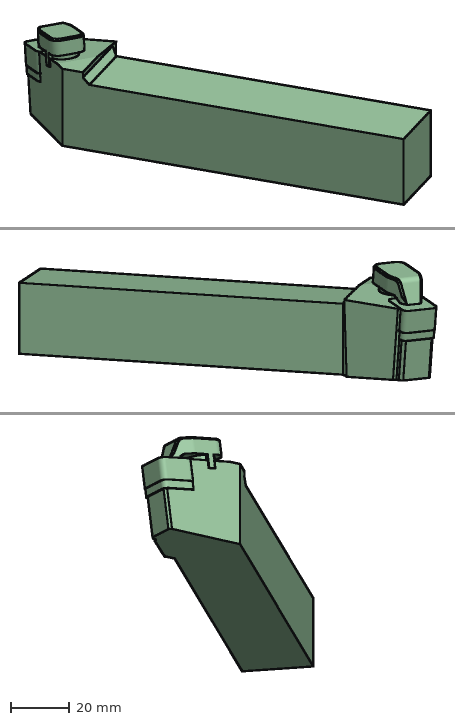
import cadquery as cq
import math


length = 149.3
shank_size = 25.0
head_top = 29.3
head_back = 30.6
neck_bevel = 2.2
neck_top = 27.3
head_width = 30.6
side_start = 23.0
head_depth = 37.3

seat_tilt = 8.0
crease_distance = 12.1
root_half = math.sqrt(0.5)
tilt_cos = math.cos(math.radians(seat_tilt))
tilt_sin = math.sin(math.radians(seat_tilt))

insert_side = 13.1
insert_thickness = 8.0
insert_radius = 2.0
shim_thickness = 3.0
shim_inset = 0.1
nose_y = 22.8
nose_x = -insert_radius * (math.sqrt(2) - 1)
relief_inset = 0.52
nose_flat = 0.9
notch_x = 10.3
notch_width = 1.0
notch_depth = 0.6

clamp_tip = -11.0
clamp_back = 10.3
clamp_center = 22.1
clamp_half_width = 6.3
tip_half_width = 2.5
tip_bevel_length = 1.8
tip_bevel_width = 1.3
shoulder_length = 8.7
shoulder_radius = 3.0
back_radius = 3.5
clamp_top = 8.0
clamp_underside = 2.1
tip_face_run = 3.9
tip_radius = 2.5
foot_length = 2.4
foot_ramp = 3.0
rim_bevel = 0.6
post_place = 3.7
post_radius = 5.2
leg_place = 4.2
leg_width = 2.5
leg_thickness = 1.8
leg_drop = 2.8

seat = cq.Plane(
    origin=(crease_distance * root_half, -crease_distance * root_half, head_top),
    xDir=(tilt_cos * root_half, -tilt_cos * root_half, tilt_sin),
    normal=(-tilt_sin * root_half, tilt_sin * root_half, tilt_cos),
)


def along_seat(distance):
    """Seat u of a horizontal distance from the origin along the clamp direction."""
    return (distance - crease_distance) / tilt_cos


def seat_point(x, y):
    """Seat (u, v) of the point of the tilted seat that lies at X, Y."""
    return along_seat((x - y) * root_half), (x + y) * root_half


def on_seat(shape):
    """Move a shape modelled about the origin onto the tilted seat."""
    return cq.Workplane(shape.val().moved(seat.location))


def corner_block(u_start, v_start, u_size, v_size, bottom, height):
    """A block placed by its lowest corner."""
    block = cq.Workplane("XY").box(u_size, v_size, height, centered=False)
    return block.translate((u_start, v_start, bottom))


insert_u, insert_v = seat_point(nose_x, nose_y)
clamp_tip_u = along_seat(clamp_tip)
clamp_back_u = along_seat(clamp_back)


def make_shank():
    """Square shank with the bevelled step up to the head."""
    bevel_end = head_back + neck_top - shank_size
    side_profile = (
        cq.Workplane("XZ")
        .polyline([
            (head_back, 0),
            (length, 0),
            (length, shank_size),
            (bevel_end, shank_size),
            (head_back, neck_top),
        ])
        .close()
        .extrude(-head_width)
    )
    plan_profile = (
        cq.Workplane("XY")
        .polyline([
            (head_back, 0),
            (length, 0),
            (length, shank_size),
            (head_back + neck_bevel, shank_size),
            (head_back, shank_size + neck_bevel),
        ])
        .close()
        .extrude(head_top)
    )
    return side_profile.intersect(plan_profile)


def make_head():
    """Head whose sides stand square to the tilted seat, trimmed flat at its top, base and back."""
    front_u = insert_u + relief_inset
    side_v = side_start * root_half
    relief_diagonal = crease_distance + front_u * tilt_cos
    front_corner_x = head_width + relief_diagonal / root_half
    past_back = 2 * head_back
    outline = [
        (front_u, side_v + nose_flat),
        seat_point(front_corner_x, head_width),
        seat_point(notch_x - notch_width, head_width),
        seat_point(notch_x, head_width - notch_depth),
        seat_point(notch_x + notch_width, head_width),
        seat_point(past_back, head_width),
        seat_point(past_back, side_start - past_back),
        (front_u + nose_flat, side_v),
    ]
    prism = on_seat(cq.Workplane("XY").polyline(outline).close().extrude(-head_depth))
    envelope = cq.Workplane("XY").box(head_back, 2 * head_width, head_top, centered=False)
    return prism.intersect(envelope)


def make_insert():
    """Square insert with rounded corners, flush with the seat."""
    block = corner_block(
        insert_u, insert_v, insert_side, insert_side, -insert_thickness, insert_thickness
    )
    return on_seat(block.edges("|Z").fillet(insert_radius))


def make_shim():
    """Plate under the insert, slightly smaller than it."""
    size = insert_side - 2 * shim_inset
    block = corner_block(
        insert_u + shim_inset, insert_v + shim_inset, size, size,
        -insert_thickness - shim_thickness, shim_thickness,
    )
    return on_seat(block.edges("|Z").fillet(insert_radius - shim_inset))


def make_clamp_arm():
    """Arm tapered to the tip in plan, with a sloping tip face and a hollow underside."""
    half_outline = [
        (clamp_tip_u, tip_half_width),
        (clamp_tip_u + tip_bevel_length, tip_half_width + tip_bevel_width),
        (clamp_tip_u + shoulder_length, clamp_half_width),
        (clamp_back_u, clamp_half_width),
    ]
    outline = half_outline + [(u, -v) for u, v in reversed(half_outline)]
    plan_profile = cq.Workplane("XY").polyline(outline).close().extrude(clamp_top)
    plan_profile = plan_profile.edges("|Z").edges(">>X[-2]").fillet(shoulder_radius)
    plan_profile = plan_profile.edges("|Z and >X").fillet(back_radius)

    foot_end_u = clamp_tip_u + foot_length
    side_profile = (
        cq.Workplane("XZ")
        .moveTo(clamp_tip_u, 0)
        .lineTo(clamp_tip_u + tip_face_run, clamp_top)
        .lineTo(clamp_back_u, clamp_top)
        .lineTo(clamp_back_u, clamp_underside)
        .lineTo(foot_end_u + foot_ramp, clamp_underside)
        .lineTo(foot_end_u, 0)
        .close()
        .extrude(clamp_half_width, both=True)
    )
    side_profile = side_profile.faces(">Z").edges("<X").fillet(tip_radius)
    arm = plan_profile.intersect(side_profile)
    return arm.faces(">Z").edges("(not |Y) or >X").chamfer(rim_bevel)


def make_clamp():
    """Clamp arm with the post below it and the locating leg, which starts halfway up its side."""
    post = (
        cq.Workplane("XY")
        .center(along_seat(post_place), 0)
        .circle(post_radius)
        .extrude(clamp_underside)
    )
    leg = corner_block(
        along_seat(leg_place) - leg_width / 2, -clamp_half_width,
        leg_width, leg_thickness, -leg_drop, leg_drop + clamp_top / 2,
    )
    clamp = make_clamp_arm().union(post).union(leg)
    return on_seat(clamp.translate((0, clamp_center, 0)))


insert = make_insert()
holder = make_head().union(make_shank()).union(make_shim()).cut(insert).union(make_clamp())

result = cq.Compound.makeCompound([holder.val(), insert.val()])